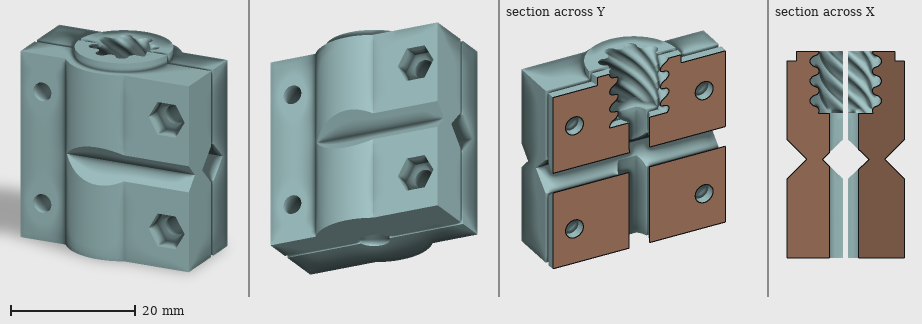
import cadquery as cq
import math

WIDTH = 31.75
BODY_HEIGHT = 31.75
TOTAL_HEIGHT = 33.25
BARREL_DIAMETER = 19.05
COLLAR_DIAMETER = 15.9
GAP = 0.85
THIN_FLANGE_Y = 5.52
THICK_FLANGE_Y = 8.55

BOLT_DIAMETER = 3.2
BOLT_X = 11.9
BOLT_SPACING_Z = 19.05
NUT_ACROSS_CORNERS = 6.45
NUT_POCKET_DEPTH = 3.0

GROOVE_Z = BODY_HEIGHT / 2
INNER_GROOVE_APEX_Y = 3.72
OUTER_GROOVE_APEX_Y = 6.3
INNER_GROOVE_HALF_ANGLE = 43.5
OUTER_GROOVE_HALF_ANGLE = 45.0

SHAFT_DIAMETER = 5.2
SHAFT_FLAT_Y = 2.03

LOBE_COUNT = 8
TOOTH_TIP_RADIUS = 4.25
LOBE_CENTRE_RADIUS = 4.65
LOBE_RADIUS = 1.05
SOCKET_DEPTH = 9.97
HELIX_LEAD = 25.4


def polar(radius, angle):
    """Point at a radius and an angle in degrees."""
    return (radius * math.cos(math.radians(angle)), radius * math.sin(math.radians(angle)))


def half_blank():
    """Front half: thin flange at -X, thick flange at +X, half barrel and half collar."""
    thin = cq.Workplane("XY").box(WIDTH / 2, THIN_FLANGE_Y, BODY_HEIGHT, centered=False)
    thin = thin.translate((-WIDTH / 2, -THIN_FLANGE_Y, 0))
    thick = cq.Workplane("XY").box(WIDTH / 2, THICK_FLANGE_Y, BODY_HEIGHT, centered=False)
    thick = thick.translate((0, -THICK_FLANGE_Y, 0))
    barrel = cq.Workplane("XY").circle(BARREL_DIAMETER / 2).extrude(BODY_HEIGHT)
    collar = cq.Workplane("XY").circle(COLLAR_DIAMETER / 2).extrude(TOTAL_HEIGHT)
    front_side = (
        cq.Workplane("XY")
        .box(WIDTH, WIDTH, TOTAL_HEIGHT, centered=(True, False, False))
        .translate((0, -WIDTH - GAP / 2, 0))
    )
    return thin.union(thick).union(barrel).union(collar).intersect(front_side)


def groove(apex_y, open_y, half_angle):
    """V groove along the full width, narrowing from open_y to apex_y."""
    half_height = abs(open_y - apex_y) * math.tan(math.radians(half_angle))
    return (
        cq.Workplane("YZ", origin=(-WIDTH / 2, 0, GROOVE_Z))
        .polyline([(apex_y, 0), (open_y, half_height), (open_y, -half_height)])
        .close()
        .extrude(WIDTH)
    )


def bolt_cuts():
    """Four bolt holes along Y, with nut pockets in the thick flange."""
    outer_face = cq.Plane.named("XZ", origin=(0, -THICK_FLANGE_Y, BODY_HEIGHT / 2))
    holes = (
        cq.Workplane(outer_face)
        .rarray(2 * BOLT_X, BOLT_SPACING_Z, 2, 2)
        .circle(BOLT_DIAMETER / 2)
        .extrude(-THICK_FLANGE_Y)
    )
    nut_pockets = (
        cq.Workplane(outer_face)
        .center(BOLT_X, 0)
        .rarray(0.33, BOLT_SPACING_Z, 1, 2)
        .polygon(6, NUT_ACROSS_CORNERS)
        .extrude(-NUT_POCKET_DEPTH)
    )
    return holes.union(nut_pockets)


def socket():
    """Lobed socket twisted about Z, with round lobes and round teeth tangent to each other."""
    pitch = 360 / LOBE_COUNT
    lobe_reach = LOBE_CENTRE_RADIUS * math.cos(math.radians(pitch / 2))
    tooth_radius = (
        LOBE_CENTRE_RADIUS**2 + TOOTH_TIP_RADIUS**2 - LOBE_RADIUS**2 - 2 * TOOTH_TIP_RADIUS * lobe_reach
    ) / (2 * (LOBE_RADIUS + lobe_reach - TOOTH_TIP_RADIUS))
    tooth_x, tooth_y = polar(TOOTH_TIP_RADIUS + tooth_radius, pitch / 2)
    share = LOBE_RADIUS / (LOBE_RADIUS + tooth_radius)
    joint_x = LOBE_CENTRE_RADIUS + share * (tooth_x - LOBE_CENTRE_RADIUS)
    joint_y = share * tooth_y
    joint_radius = math.hypot(joint_x, joint_y)
    joint_angle = math.degrees(math.atan2(joint_y, joint_x))

    twist = 360 * SOCKET_DEPTH / HELIX_LEAD
    first_lobe = pitch / 2 - twist
    profile = cq.Workplane("XY", origin=(0, 0, TOTAL_HEIGHT - SOCKET_DEPTH))
    profile = profile.moveTo(*polar(joint_radius, first_lobe - joint_angle))
    for index in range(LOBE_COUNT):
        lobe = first_lobe + index * pitch
        profile = profile.threePointArc(
            polar(LOBE_CENTRE_RADIUS + LOBE_RADIUS, lobe),
            polar(joint_radius, lobe + joint_angle),
        ).threePointArc(
            polar(TOOTH_TIP_RADIUS, lobe + pitch / 2),
            polar(joint_radius, lobe + pitch - joint_angle),
        )
    return profile.close().twistExtrude(SOCKET_DEPTH, twist)


def clamp_half():
    """Front half without its shaft bore."""
    inner = groove(-INNER_GROOVE_APEX_Y, 0, INNER_GROOVE_HALF_ANGLE)
    outer = groove(-OUTER_GROOVE_APEX_Y, -BARREL_DIAMETER / 2, OUTER_GROOVE_HALF_ANGLE)
    return half_blank().cut(inner).cut(outer).cut(bolt_cuts()).cut(socket())


def d_shaft():
    """D-shaped shaft space along Z, with its flat on the +Y side."""
    shaft = cq.Workplane("XY").circle(SHAFT_DIAMETER / 2).extrude(TOTAL_HEIGHT)
    beyond_flat = (
        cq.Workplane("XY")
        .box(SHAFT_DIAMETER, SHAFT_DIAMETER, TOTAL_HEIGHT, centered=(True, False, False))
        .translate((0, SHAFT_FLAT_Y, 0))
    )
    return shaft.cut(beyond_flat)


blank = clamp_half()
shaft_bore = d_shaft()
front_half = blank.cut(shaft_bore)
rear_half = blank.rotate((0, 0, 0), (0, 0, 1), 180).cut(shaft_bore)

result = cq.Compound.makeCompound([front_half.val(), rear_half.val()])